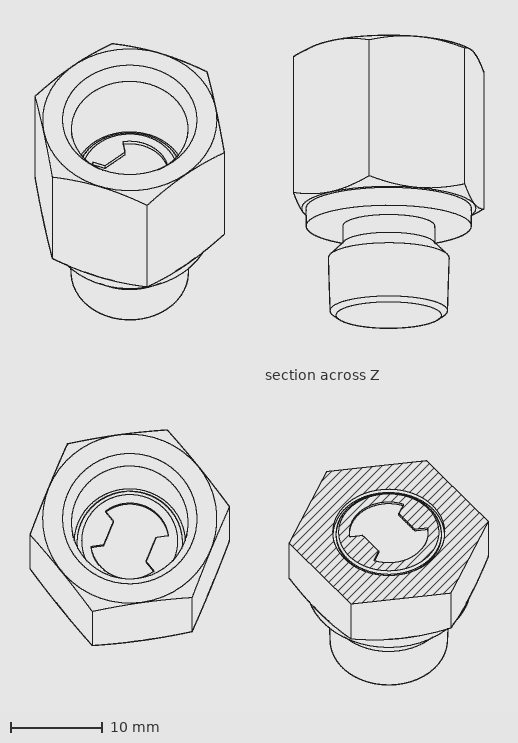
import cadquery as cq
import math

TOTAL_HEIGHT = 29.0
HEX_BOTTOM = 12.0
COLLAR_BOTTOM = 10.0
NECK_BOTTOM = 8.0

HEX_ACROSS_FLATS = 19.0
HEX_CHAMFER_DIAMETER = 18.95
HEX_CHAMFER_ANGLE = math.radians(30)

COLLAR_DIAMETER = 17.98
NECK_DIAMETER = 10.0
SPIGOT_DIAMETER = 13.17
SPIGOT_END_DIAMETER = 11.45
SPIGOT_CHAMFER_HEIGHT = 0.5
PIPE_TAPER = 1 / 16

MOUTH_DIAMETER = 14.62
MOUTH_CONE_ANGLE = math.radians(60)
SOCKET_DIAMETER = 12.67
SOCKET_FLOOR = 18.27

PLUG_DIAMETER = 11.45
PLUG_TOP_DIAMETER = 10.45
PLUG_HEIGHT = 0.75
PLUG_CHAMFER = (PLUG_DIAMETER - PLUG_TOP_DIAMETER) / 2

RECESS_DIAMETER = 8.53
RECESS_BAR_WIDTH = 4.95
RECESS_SIDE_ANGLE = math.radians(30)
RECESS_DEPTH = 0.5


def revolve(profile):
    """Turn a closed (radius, height) outline about the Z axis."""
    return cq.Workplane("XZ").polyline(profile).close().revolve(360, (0, 0), (0, 1))


def hex_body():
    """Hexagonal prism with its corners chamfered at both ends."""
    height = TOTAL_HEIGHT - HEX_BOTTOM
    corner_diameter = HEX_ACROSS_FLATS / math.cos(math.pi / 6)
    prism = (
        cq.Workplane("XY", origin=(0, 0, HEX_BOTTOM))
        .transformed(rotate=(0, 0, 30))
        .polygon(6, corner_diameter)
        .extrude(height)
    )
    face_radius = HEX_CHAMFER_DIAMETER / 2
    outer_radius = corner_diameter / 2
    drop = (outer_radius - face_radius) * math.tan(HEX_CHAMFER_ANGLE)
    envelope = revolve([
        (0, HEX_BOTTOM),
        (face_radius, HEX_BOTTOM),
        (outer_radius, HEX_BOTTOM + drop),
        (outer_radius, TOTAL_HEIGHT - drop),
        (face_radius, TOTAL_HEIGHT),
        (0, TOTAL_HEIGHT),
    ])
    return prism.intersect(envelope)


def stem():
    """Collar, neck and tapered spigot below the hexagon."""
    neck_radius = NECK_DIAMETER / 2
    spigot_radius = SPIGOT_DIAMETER / 2
    shoulder = NECK_BOTTOM - (spigot_radius - neck_radius)
    taper_length = shoulder - SPIGOT_CHAMFER_HEIGHT
    lower_radius = spigot_radius - taper_length * PIPE_TAPER / 2
    return revolve([
        (0, 0),
        (SPIGOT_END_DIAMETER / 2, 0),
        (lower_radius, SPIGOT_CHAMFER_HEIGHT),
        (spigot_radius, shoulder),
        (neck_radius, NECK_BOTTOM),
        (neck_radius, COLLAR_BOTTOM),
        (COLLAR_DIAMETER / 2, COLLAR_BOTTOM),
        (COLLAR_DIAMETER / 2, HEX_BOTTOM),
        (0, HEX_BOTTOM),
    ])


def socket():
    """Space cut from the top: countersunk mouth and tapered bore."""
    mouth_step = (MOUTH_DIAMETER - SOCKET_DIAMETER) / 2
    bore_top = TOTAL_HEIGHT - mouth_step / math.tan(MOUTH_CONE_ANGLE / 2)
    floor_radius = SOCKET_DIAMETER / 2 - (bore_top - SOCKET_FLOOR) * PIPE_TAPER / 2
    return revolve([
        (0, SOCKET_FLOOR),
        (floor_radius, SOCKET_FLOOR),
        (SOCKET_DIAMETER / 2, bore_top),
        (MOUTH_DIAMETER / 2, TOTAL_HEIGHT),
        (0, TOTAL_HEIGHT),
    ])


def plug():
    """Round chamfered plug standing on the socket floor."""
    return (
        cq.Workplane("XY", origin=(0, 0, SOCKET_FLOOR))
        .circle(PLUG_DIAMETER / 2)
        .extrude(PLUG_HEIGHT)
        .faces(">Z")
        .chamfer(PLUG_CHAMFER)
    )


def plug_recess():
    """Bow-tie recess whose slanted sides lie on radial lines."""
    radius = RECESS_DIAMETER / 2
    bar_x = RECESS_BAR_WIDTH / 2
    bar_y = bar_x * math.tan(RECESS_SIDE_ANGLE)
    tip_x = radius * math.cos(RECESS_SIDE_ANGLE)
    tip_y = radius * math.sin(RECESS_SIDE_ANGLE)
    return (
        cq.Workplane("XY", origin=(0, 0, SOCKET_FLOOR + PLUG_HEIGHT))
        .moveTo(bar_x, -bar_y)
        .lineTo(bar_x, bar_y)
        .lineTo(tip_x, tip_y)
        .threePointArc((0, radius), (-tip_x, tip_y))
        .lineTo(-bar_x, bar_y)
        .lineTo(-bar_x, -bar_y)
        .lineTo(-tip_x, -tip_y)
        .threePointArc((0, -radius), (tip_x, -tip_y))
        .close()
        .extrude(-RECESS_DEPTH)
    )


result = hex_body().union(stem()).cut(socket()).union(plug()).cut(plug_recess())